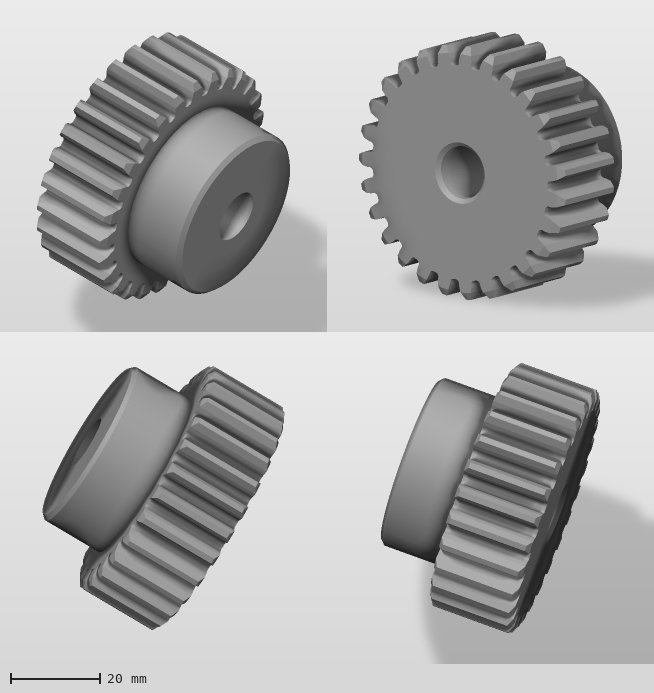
import cadquery as cq
import math

tooth_count = 27
gear_height = 57.95
gear_width = 20.0
hub_length = 15.0
hub_diameter = 40.0
bore_diameter = 12.0
edge_chamfer = 1.0
tooth_chamfer_length = 0.9
tooth_chamfer_depth = 1.75

tip_half_thickness = 0.665
shoulder_radius = 27.25
shoulder_half_thickness = 1.48
lower_flank_radius = 26.1
lower_flank_half_thickness = 1.71

root_radius = 24.45
root_half_width = 0.35
root_corner_radius = 0.85

pitch_angle = 2 * math.pi / tooth_count
tip_half_angle = 2 * tip_half_thickness / gear_height
corner_offset = pitch_angle / 4 - tip_half_angle
tip_radius = gear_height / 2 / math.cos(corner_offset)


def polar(radius, angle):
    return (radius * math.cos(angle), radius * math.sin(angle))


def flank_points(tooth_angle, side):
    """Lower flank, shoulder and tip points of one tooth side; side is -1 or +1."""
    return [
        polar(lower_flank_radius, tooth_angle + side * lower_flank_half_thickness / lower_flank_radius),
        polar(shoulder_radius, tooth_angle + side * shoulder_half_thickness / shoulder_radius),
        polar(tip_radius, tooth_angle + side * tip_half_angle),
    ]


def root_corner_points(gap_angle, side):
    """Floor end, middle and flank end of the rounded corner on one side of a gap."""
    points = []
    for turn in (0, math.pi / 4, math.pi / 2):
        height = root_radius + root_corner_radius * (1 - math.cos(turn))
        offset = side * (root_half_width + root_corner_radius * math.sin(turn))
        points.append(polar(math.hypot(height, offset), gap_angle + math.atan2(offset, height)))
    return points


def make_toothed_rim():
    outline = cq.Workplane("YZ").moveTo(*root_corner_points(-pitch_angle / 2, 1)[0])
    for tooth in range(tooth_count):
        tooth_angle = tooth * pitch_angle
        gap_angle = tooth_angle + pitch_angle / 2
        outline = outline.threePointArc(*root_corner_points(gap_angle - pitch_angle, 1)[1:])
        rising_flank = flank_points(tooth_angle, -1)
        for point in rising_flank:
            outline = outline.lineTo(*point)
        falling_flank = flank_points(tooth_angle, 1)[::-1]
        outline = outline.threePointArc(polar(tip_radius, tooth_angle), falling_flank[0])
        for point in falling_flank[1:]:
            outline = outline.lineTo(*point)
        floor_start, corner_middle, corner_start = root_corner_points(gap_angle, -1)
        outline = outline.lineTo(*corner_start).threePointArc(corner_middle, floor_start)
        if tooth < tooth_count - 1:
            outline = outline.lineTo(*root_corner_points(gap_angle, 1)[0])
    return outline.close().extrude(gear_width)


def make_chamfer_envelope():
    """Solid of revolution about X that bevels the tooth tips at both faces."""
    face_radius = tip_radius - tooth_chamfer_depth
    overrun = 1.1
    crest_radius = face_radius + overrun * tooth_chamfer_depth
    bevel_length = overrun * tooth_chamfer_length
    return (
        cq.Workplane("XY")
        .polyline([
            (0, 0),
            (0, face_radius),
            (bevel_length, crest_radius),
            (gear_width - bevel_length, crest_radius),
            (gear_width, face_radius),
            (gear_width, 0),
        ])
        .close()
        .revolve(360, (0, 0, 0), (1, 0, 0))
    )


def make_hub():
    return (
        cq.Workplane("YZ")
        .workplane(offset=gear_width)
        .circle(hub_diameter / 2)
        .extrude(hub_length)
        .faces(">X")
        .chamfer(edge_chamfer)
    )


def make_bore():
    """Through bore with a 45 degree countersink on the toothed face."""
    bore_radius = bore_diameter / 2
    total_length = gear_width + hub_length
    return (
        cq.Workplane("XY")
        .polyline([
            (0, 0),
            (0, bore_radius + edge_chamfer),
            (edge_chamfer, bore_radius),
            (total_length, bore_radius),
            (total_length, 0),
        ])
        .close()
        .revolve(360, (0, 0, 0), (1, 0, 0))
    )


rim = make_toothed_rim().intersect(make_chamfer_envelope())
result = rim.union(make_hub()).cut(make_bore())